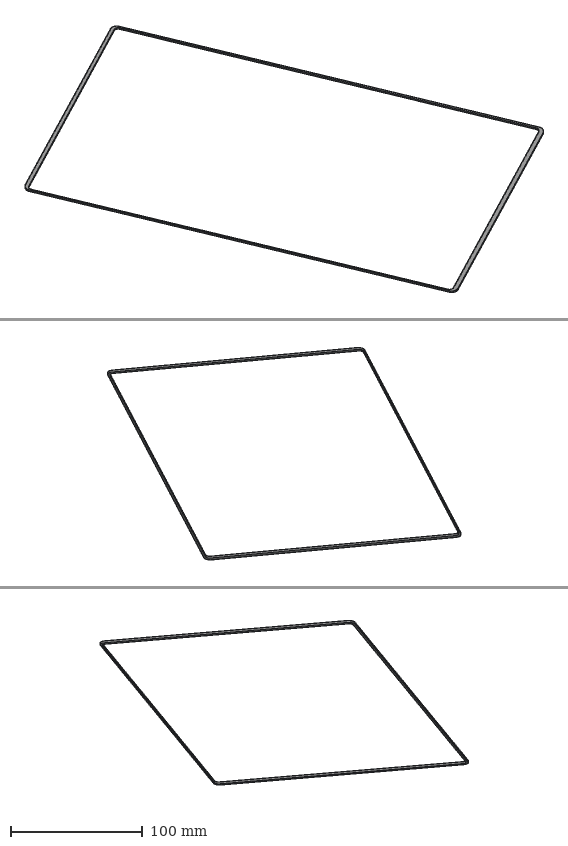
import cadquery as cq

LENGTH = 350.0
WIDTH = 200.0
THICKNESS = 1.6
OUTER_CORNER_RADIUS = 5.0

FRONT_LEFT_RAILS = (3.15, 1.2)
FRONT_RIGHT_RAILS = (3.55, 1.25)
BACK_RIGHT_RAILS = (3.65, 1.75)
BACK_LEFT_RAILS = (2.85, 1.5)
OPENING_CORNER_RADIUS = 3.2


def opening_corner(x_side, y_side, rails):
    """Sharp corner of the opening; x_side and y_side are -1 or +1."""
    x_rail, y_rail = rails
    return (x_side * (LENGTH / 2 - x_rail), y_side * (WIDTH / 2 - y_rail))


def make_plate():
    """Solid plate with rounded corners, resting on Z = 0."""
    plate = cq.Workplane("XY").rect(LENGTH, WIDTH).extrude(THICKNESS)
    return plate.edges("|Z").fillet(OUTER_CORNER_RADIUS)


def make_opening():
    """Four-sided through opening with rounded corners."""
    corners = [
        opening_corner(-1, -1, FRONT_LEFT_RAILS),
        opening_corner(1, -1, FRONT_RIGHT_RAILS),
        opening_corner(1, 1, BACK_RIGHT_RAILS),
        opening_corner(-1, 1, BACK_LEFT_RAILS),
    ]
    opening = cq.Workplane("XY").polyline(corners).close().extrude(THICKNESS)
    return opening.edges("|Z").fillet(OPENING_CORNER_RADIUS)


result = make_plate().cut(make_opening())